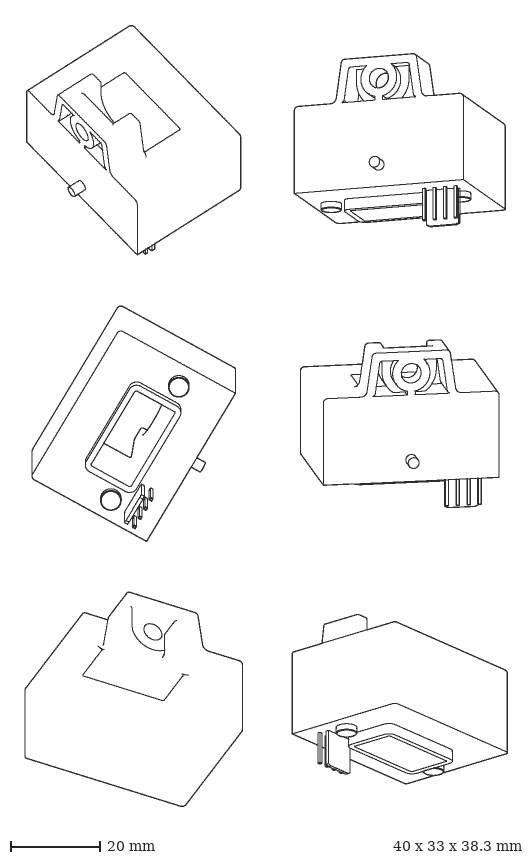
import cadquery as cq

body_length = 40.0
body_depth = 30.0
body_height = 20.0
body_round = 1.0

window_length = 20.25
window_width = 10.3
window_center_y = 14.95
window_corner = 0.4
rim_length = 23.05
rim_width = 12.95
rim_corner = 1.8
rim_height = 2.5

bracket_top = 30.0
bracket_depth = window_center_y - window_width / 2
bracket_half_base = 10.25
bracket_half_top = 8.8
bracket_top_round = 0.9
bracket_foot_round = 1.4
bracket_back_round = 0.5
bracket_lean = (bracket_half_base - bracket_half_top) / (bracket_top - body_height)
flange_half_width = 14.0
flange_thickness = 2.0

hole_z = (body_height + bracket_top) / 2
hole_radius = 2.25
boss_radius = 4.25
boss_web_width = 1.85
trough_radius = 5.15
trough_front = 4.85
trough_edge_round = 0.55
selection_margin = 0.05
trough_shell_radius = 6.2
trough_shell_front = 2.8

hollow_top = 28.1
hollow_half_base = 8.3
hollow_half_top = hollow_half_base - bracket_lean * (hollow_top - body_height)
hollow_corner = 0.65
hollow_flare = 0.45
hollow_back_wall = 1.0
hollow_back = bracket_depth - hollow_back_wall

peg_radius = 1.25
peg_length = 3.0
peg_z = 5.0

foot_radius = 2.3
foot_height = 1.5
foot_x = 15.3
foot_y = 11.9
foot_chamfer = 0.15

pin_count = 4
pin_pitch = 2.5
pin_size = 0.7
pin_length = 7.35
pin_tip_chamfer = 0.1
contacts_x = 12.7
pin_y = 5.15
blade_width = 7.6
blade_thickness = 0.8
blade_length = 8.3
blade_y = 7.3
blade_tip_inset = 0.7
blade_tip_height = 0.3


def extrude_back(profile, front, back):
    """Extrude an XZ profile from y = front to y = back."""
    return profile.extrude(front - back).translate((0, front, 0))


def make_disc(radius, front, back):
    """Cylinder along Y on the axis of the mounting hole."""
    return extrude_back(cq.Workplane("XZ").center(0, hole_z).circle(radius), front, back)


def make_block(width, bottom, top, front, back):
    """Box centred on X between the given limits in Z and Y."""
    block = cq.Workplane("XY").box(width, back - front, top - bottom, centered=(True, False, False))
    return block.translate((0, front, bottom))


def make_channel(radius, front, back):
    """Round-bottomed channel on the hole axis, reaching the top of the bracket."""
    return make_disc(radius, front, back).union(make_block(2 * radius, hole_z, bracket_top, front, back))


def make_body():
    body = make_block(body_length, 0, body_height, 0, body_depth)
    return body.edges("(|Y and >Z) or (>Y and >Z) or (|Z and >Y)").fillet(body_round)


def make_bracket():
    """Leaning-sided block on a flange that lies inside the body."""
    right_side = [
        (bracket_half_top, bracket_top),
        (bracket_half_base, body_height),
        (flange_half_width, body_height),
        (flange_half_width, body_height - flange_thickness),
    ]
    left_side = [(-x, z) for x, z in reversed(right_side)]
    bracket = extrude_back(cq.Workplane("XZ").polyline(right_side + left_side).close(), 0, bracket_depth)
    bracket = bracket.edges("|Y and >Z").fillet(bracket_top_round)
    base_corners = [
        cq.selectors.NearestToPointSelector((side * bracket_half_base, bracket_depth / 2, body_height))
        for side in (-1, 1)
    ]
    for corner in base_corners:
        bracket = bracket.edges(corner).fillet(bracket_foot_round)

    bracket = bracket.cut(make_channel(trough_radius, trough_front, bracket_depth))
    trough_rim = cq.selectors.BoxSelector(
        (-trough_radius - selection_margin, trough_front - selection_margin, bracket_top - selection_margin),
        (trough_radius + selection_margin, bracket_depth - selection_margin, bracket_top + selection_margin),
    )
    bracket = bracket.edges(trough_rim).fillet(trough_edge_round)
    return bracket.faces(">Y").edges("not(<Z or |Z)").fillet(bracket_back_round)


def make_hollows():
    """Space inside the bracket around the boss and the trough shell."""
    neck_half = hollow_half_base - bracket_lean * hollow_flare
    right_side = [
        (hollow_half_top, hollow_top),
        (neck_half, body_height + hollow_flare),
        (hollow_half_base + hollow_flare, body_height),
    ]
    left_side = [(-x, z) for x, z in reversed(right_side)]
    hollow = extrude_back(cq.Workplane("XZ").polyline(right_side + left_side).close(), 0, hollow_back)
    hollow = hollow.edges("|Y and >Z").fillet(hollow_corner)
    boss = make_disc(boss_radius, 0, trough_shell_front)
    web = make_block(boss_web_width, body_height, hole_z, 0, trough_shell_front)
    shell = make_channel(trough_shell_radius, trough_shell_front, hollow_back)
    return hollow.cut(boss).cut(web).cut(shell)


def make_rim():
    rim = cq.Workplane("XY").center(0, window_center_y)
    rim = rim.rect(rim_length, rim_width).extrude(-rim_height)
    return rim.edges("|Z").fillet(rim_corner)


def make_window():
    window = make_block(
        window_length,
        -rim_height,
        body_height,
        window_center_y - window_width / 2,
        window_center_y + window_width / 2,
    )
    return window.edges("|Z").fillet(window_corner)


def make_feet():
    feet = cq.Workplane("XY").pushPoints([(-foot_x, foot_y), (foot_x, foot_y)])
    return feet.circle(foot_radius).extrude(-foot_height).faces("<Z").edges().chamfer(foot_chamfer)


def make_pins():
    pins = cq.Workplane("XY").center(contacts_x, pin_y).rarray(pin_pitch, 0.4, pin_count, 1)
    return pins.rect(pin_size, pin_size).extrude(-pin_length).faces("<Z").edges().chamfer(pin_tip_chamfer)


def make_blade():
    blade = cq.Workplane("XY").center(contacts_x, blade_y)
    blade = blade.rect(blade_width, blade_thickness).extrude(-blade_length)
    return blade.edges("|Y and <Z").chamfer(blade_tip_height, blade_tip_inset)


peg = cq.Workplane("XZ").center(0, peg_z).circle(peg_radius).extrude(peg_length)
mounting_hole = make_disc(hole_radius, 0, trough_front)

trough_room = make_channel(trough_radius + bracket_back_round, trough_front, bracket_depth)

result = make_body().union(make_rim()).cut(make_window()).cut(trough_room)
result = result.union(make_bracket()).cut(make_hollows()).cut(mounting_hole)
result = result.union(peg).union(make_feet()).union(make_pins()).union(make_blade())